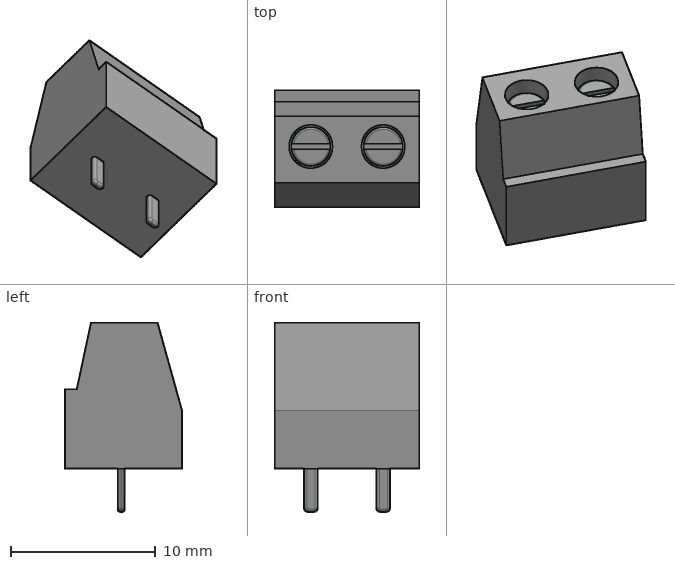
import cadquery as cq

total_height = 13.1
pin_length = 3.0
body_height = total_height - pin_length
pole_count = 2
body_length = 10.0
pitch = body_length / pole_count
body_depth = 8.1

front_wall_height = 4.03
top_front_y = 1.69
top_back_y = 6.3
ledge_front_y = 7.28
ledge_height = 5.5

axis_y = 4.2
well_diameter = 3.0
well_depth = 2.0
screw_recess = 1.0
screw_radius = 1.35
screw_edge_radius = 0.15
slot_width = 0.37
slot_depth = 0.5

pin_width = 0.97
pin_thickness = 0.48
pin_edge_radius = 0.21
pin_tip_radius = 0.3
pin_root = 0.65

pole_centers = [
    ((i - (pole_count - 1) / 2) * pitch, axis_y) for i in range(pole_count)
]


def make_body():
    """Housing with a sloped front, a sloped back and a ledge behind it."""
    profile = [
        (0, 0),
        (body_depth, 0),
        (body_depth, ledge_height),
        (ledge_front_y, ledge_height),
        (top_back_y, body_height),
        (top_front_y, body_height),
        (0, front_wall_height),
    ]
    return cq.Workplane("YZ").polyline(profile).close().extrude(body_length / 2, both=True)


def make_well():
    """Round hole that receives a screw from the top."""
    floor = cq.Workplane("XY").workplane(offset=body_height - well_depth)
    return floor.circle(well_diameter / 2).extrude(well_depth)


def make_screw():
    """Slotted screw head standing on the well floor."""
    head_height = well_depth - screw_recess
    floor = cq.Workplane("XY").workplane(offset=body_height - well_depth)
    head = floor.circle(screw_radius).extrude(head_height)
    head = head.faces(">Z").edges().fillet(screw_edge_radius)
    slot = (
        cq.Workplane("XY")
        .workplane(offset=body_height - screw_recess - slot_depth)
        .rect(2 * screw_radius, slot_width)
        .extrude(slot_depth)
    )
    return head.cut(slot)


def make_pin():
    """Flat pin with rounded tip corners, and rounded edges on both broad faces."""
    blade_height = pin_length + pin_root
    blade = (
        cq.Workplane("XY")
        .workplane(offset=-pin_length)
        .rect(pin_width, pin_thickness)
        .extrude(blade_height)
    )
    blade = blade.faces("<Z").edges("|Y").fillet(pin_tip_radius)
    return blade.faces("<Y or >Y").edges().fillet(pin_edge_radius)


result = make_body()
for x, y in pole_centers:
    position = (x, y, 0)
    result = result.cut(make_well().translate(position))
    result = result.union(make_screw().translate(position))
    result = result.union(make_pin().translate(position))